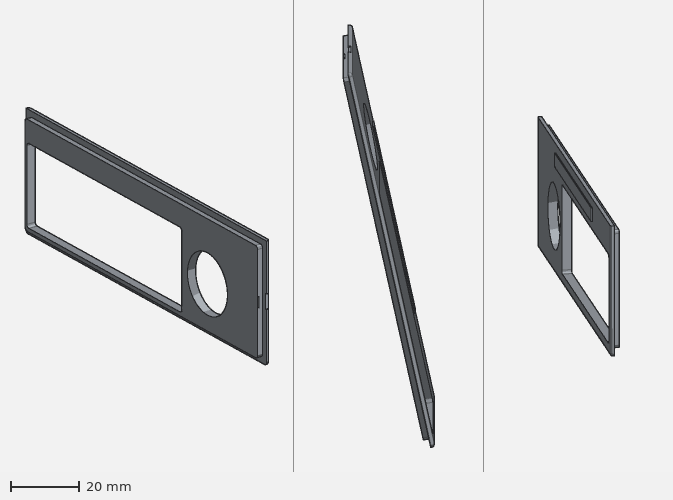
import cadquery as cq

plate_width = 120.5
plate_height = 40.0
plate_thickness = 1.2
plate_corner_radius = 1.0
rear_edge_radius = 1.0

step_width = 116.5
step_height = 36.0
step_depth = 1.8
step_corner_radius = 1.0

window_width = 77.5
window_height = 27.2
window_left_margin = 3.0
window_bottom_margin = 3.3
window_corner_radius = 1.0

opening_diameter = 20.0
opening_right_margin = 27.1
opening_bottom_margin = 17.1

notch_height = 5.0
notch_front_depth = 0.6
notch_rear_depth = 0.1
notch_center_z = 0.5

snap_height = 3.4
snap_projection = 0.5
snap_lead_in = 0.2
snap_width = 0.5
snap_center_z = 0.1

band_width = 60.2
band_height = 4.2
band_projection = 0.4
band_top_margin = 2.8

right_edge = plate_width / 2
left_edge = -right_edge
top_edge = plate_height / 2
bottom_edge = -top_edge
step_right = step_width / 2
rear_face = plate_thickness
front_face = -step_depth


def block(width, depth, height, center_x, start_y, center_z):
    """Box centred in X and Z that runs from start_y toward +Y."""
    return cq.Workplane("XY").box(width, depth, height, centered=(True, False, True)).translate(
        (center_x, start_y, center_z)
    )


def edge_prism(points, height, center_z):
    """Prism of an XY outline, centred on center_z."""
    return cq.Workplane("XY").workplane(offset=center_z - height / 2).polyline(points).close().extrude(height)


def plate():
    body = block(plate_width, plate_thickness, plate_height, 0, 0, 0)
    body = body.faces("<Z").edges("|Y").fillet(plate_corner_radius)
    return body.faces("<Z").edges(">Y").fillet(rear_edge_radius)


def step():
    body = block(step_width, step_depth, step_height, 0, front_face, 0)
    return body.edges("|Y").fillet(step_corner_radius)


def window():
    center_x = left_edge + window_left_margin + window_width / 2
    center_z = bottom_edge + window_bottom_margin + window_height / 2
    cutter = block(window_width, step_depth + plate_thickness, window_height, center_x, front_face, center_z)
    return cutter.edges("|Y").fillet(window_corner_radius)


def opening():
    center_x = right_edge - opening_right_margin
    center_z = bottom_edge + opening_bottom_margin
    cutter = cq.Workplane("XZ").center(center_x, center_z).circle(opening_diameter / 2)
    return cutter.extrude(step_depth + plate_thickness).translate((0, rear_face, 0))


def notch():
    outline = [
        (right_edge, 0),
        (right_edge - notch_front_depth, 0),
        (right_edge - notch_rear_depth, rear_face),
        (right_edge, rear_face),
    ]
    return edge_prism(outline, notch_height, notch_center_z)


def snap_ridge():
    outline = [
        (step_right, front_face),
        (step_right + snap_projection, front_face + snap_lead_in),
        (step_right, front_face + snap_width),
    ]
    return edge_prism(outline, snap_height, snap_center_z)


def rear_band():
    center_z = top_edge - band_top_margin - band_height / 2
    return block(band_width, band_projection, band_height, 0, rear_face, center_z)


result = plate().union(step()).union(snap_ridge()).union(rear_band())
result = result.cut(window()).cut(opening()).cut(notch())